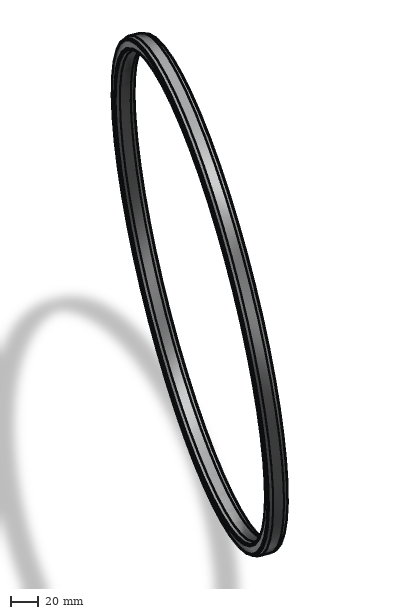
import cadquery as cq

outer_radius = 196.0
width = 15.5
thickness = 11.0

land_width = 8.2
break_width = 14.0
break_depth = 1.0
bevel_depth = 2.55

inner_radius = outer_radius - thickness
half_width = width / 2


def ring_section():
    """Section with two flats at each corner; X is radius, Y is along the ring axis."""
    half_outline = [
        (inner_radius, land_width / 2),
        (inner_radius + break_depth, break_width / 2),
        (inner_radius + bevel_depth, half_width),
        (outer_radius - bevel_depth, half_width),
        (outer_radius - break_depth, break_width / 2),
        (outer_radius, land_width / 2),
    ]
    mirrored_outline = [(radius, -y) for radius, y in reversed(half_outline)]
    return cq.Workplane("XY").polyline(half_outline + mirrored_outline).close()


ring = ring_section().revolve(360, (0, 0, 0), (0, 1, 0))

result = ring.rotate((0, 0, 0), (0, 1, 0), -90)